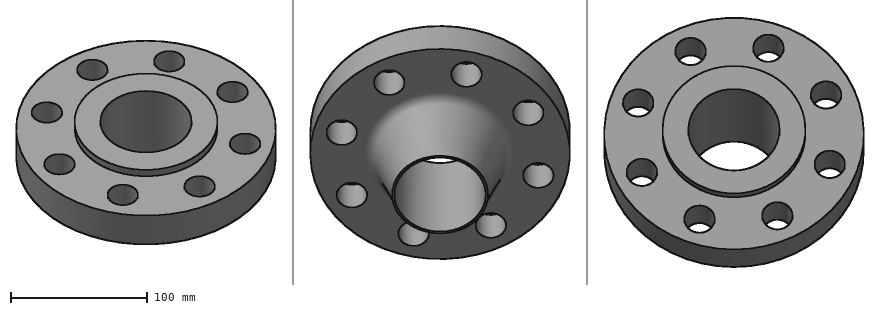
import cadquery as cq
import math

total_height = 85.72
flange_diameter = 190.5
flange_thickness = 28.7
raised_face_diameter = 104.8
raised_face_height = 6.35
bore_diameter = 66.9

hub_base_diameter = 100.0
hub_fillet_radius = 7.5
neck_diameter = 72.9
weld_end_diameter = 70.3
weld_end_height = 8.5
neck_blend_radius = 3.0

bolt_count = 8
bolt_hole_diameter = 22.3
bolt_circle_diameter = 149.3

flange_top = total_height - raised_face_height
flange_bottom = flange_top - flange_thickness


def rounded_corner(before, corner, after, radius):
    """Start, middle and end of the arc that rounds an inside corner between two straight profile lines."""
    angle_back = math.atan2(before[1] - corner[1], before[0] - corner[0])
    angle_ahead = math.atan2(after[1] - corner[1], after[0] - corner[0])
    half_angle = (angle_ahead - angle_back) / 2
    bisector = angle_back + half_angle
    tangent_length = radius / math.tan(half_angle)
    middle_distance = radius / math.sin(half_angle) - radius

    def offset(angle, distance):
        return (
            corner[0] + distance * math.cos(angle),
            corner[1] + distance * math.sin(angle),
        )

    start = offset(angle_back, tangent_length)
    middle = offset(bisector, middle_distance)
    end = offset(angle_ahead, tangent_length)
    return start, middle, end


def make_body():
    """Flange, raised face and welding neck revolved about Z, including the bore."""
    weld_end_edge = (weld_end_diameter / 2, 0)
    neck_corner = (neck_diameter / 2, weld_end_height)
    hub_corner = (hub_base_diameter / 2, flange_bottom)
    flange_edge = (flange_diameter / 2, flange_bottom)
    neck_start, neck_middle, neck_end = rounded_corner(
        weld_end_edge, neck_corner, hub_corner, neck_blend_radius
    )
    hub_start, hub_middle, hub_end = rounded_corner(
        neck_corner, hub_corner, flange_edge, hub_fillet_radius
    )
    return (
        cq.Workplane("XZ")
        .moveTo(bore_diameter / 2, 0)
        .lineTo(*weld_end_edge)
        .lineTo(*neck_start)
        .threePointArc(neck_middle, neck_end)
        .lineTo(*hub_start)
        .threePointArc(hub_middle, hub_end)
        .lineTo(*flange_edge)
        .lineTo(flange_diameter / 2, flange_top)
        .lineTo(raised_face_diameter / 2, flange_top)
        .lineTo(raised_face_diameter / 2, total_height)
        .lineTo(bore_diameter / 2, total_height)
        .close()
        .revolve(360, (0, 0, 0), (0, 1, 0))
    )


def make_bolt_holes():
    """Cylinders on the bolt circle that pass through the flange."""
    return (
        cq.Workplane("XY", origin=(0, 0, flange_bottom))
        .polarArray(bolt_circle_diameter / 2, 0, 360, bolt_count)
        .circle(bolt_hole_diameter / 2)
        .extrude(flange_thickness)
    )


result = make_body().cut(make_bolt_holes())